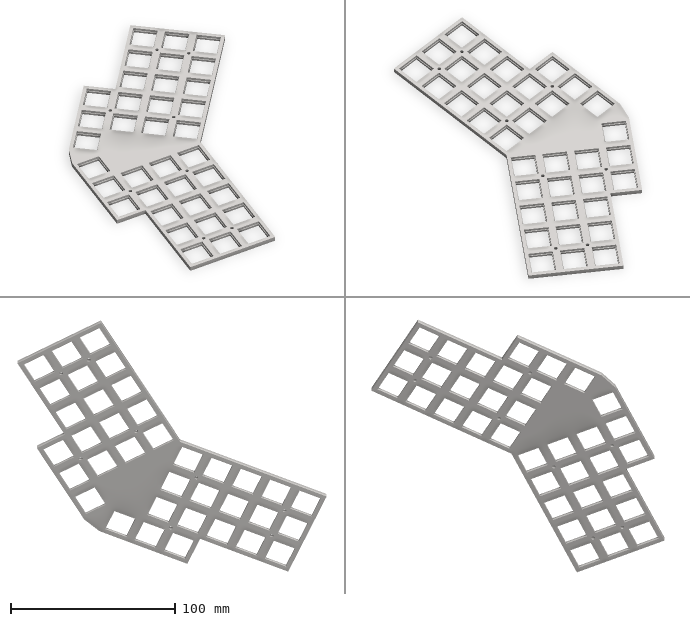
import cadquery as cq
import math

key_pitch = 19.5
plate_thickness = 3.0
wing_columns = 5
wing_rows = 3
thumb_first_column = -1
thumb_columns = 3

window_size = 14.0
recess_size = 15.0
recess_depth = 1.6

screw_hole_diameter = 2.2
screw_hole_corners = [(1, 1), (4, 1), (4, 2), (1, 3)]

wing_tilt = math.atan2(3, 4)


def right_wing_point(column, row):
    """Position on the right wing's key grid, rows counted downwards."""
    return (column * key_pitch, -row * key_pitch)


def left_wing_point(column, row):
    """The same grid position on the left wing, columns counted outwards."""
    along = -column * key_pitch
    across = -row * key_pitch
    x = along * math.cos(wing_tilt) + across * math.sin(wing_tilt)
    y = -along * math.sin(wing_tilt) + across * math.cos(wing_tilt)
    return (x, y)


wings = [(right_wing_point, 0.0), (left_wing_point, -math.degrees(wing_tilt))]


def make_plate():
    """Solid plate whose outline follows the key grid of both wings."""
    thumb_end = thumb_first_column + thumb_columns
    thumb_bottom = wing_rows + 1
    wing_corners = [
        (wing_columns, 0),
        (wing_columns, wing_rows),
        (thumb_end, wing_rows),
        (thumb_end, thumb_bottom),
        (thumb_first_column, thumb_bottom),
    ]
    right_side = [right_wing_point(*corner) for corner in wing_corners]
    left_side = [left_wing_point(*corner) for corner in reversed(wing_corners)]
    outline = [(0, 0)] + right_side + left_side
    return cq.Workplane("XY").polyline(outline).close().extrude(plate_thickness)


def key_cells():
    """Column and row of every key in one wing, thumb row included."""
    cells = [(column, row) for row in range(wing_rows) for column in range(wing_columns)]
    thumb_end = thumb_first_column + thumb_columns
    cells += [(column, wing_rows) for column in range(thumb_first_column, thumb_end)]
    return cells


def cut_key_openings(plate, wing_point, angle):
    """Cut the stepped key openings, centred in the cells of one wing."""
    centers = [wing_point(column + 0.5, row + 0.5) for column, row in key_cells()]
    window = cq.Sketch().rect(window_size, window_size, angle=angle)
    recess = cq.Sketch().rect(recess_size, recess_size, angle=angle)
    top = cq.Workplane("XY", origin=(0, 0, plate_thickness)).pushPoints(centers)
    windows = top.placeSketch(window).extrude(-plate_thickness)
    recesses = top.placeSketch(recess).extrude(-recess_depth)
    return plate.cut(windows).cut(recesses)


def cut_screw_holes(plate, wing_point):
    """Drill the through holes at the chosen grid corners of one wing."""
    centers = [wing_point(*corner) for corner in screw_hole_corners]
    holes = cq.Workplane("XY").pushPoints(centers).circle(screw_hole_diameter / 2)
    return plate.cut(holes.extrude(plate_thickness))


result = make_plate()
for grid_point, grid_angle in wings:
    result = cut_key_openings(result, grid_point, grid_angle)
    result = cut_screw_holes(result, grid_point)